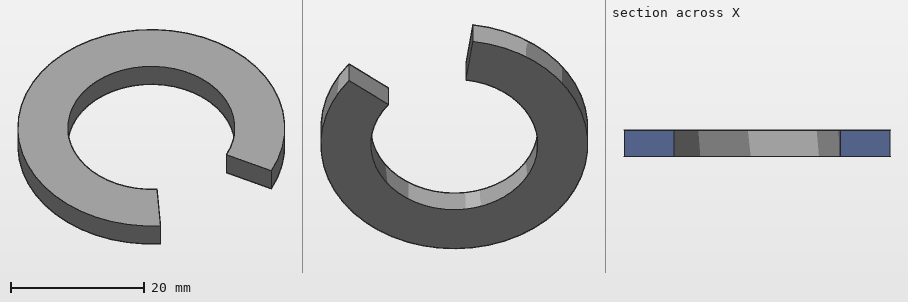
import cadquery as cq
import math

outer_diameter = 40.0
inner_diameter = 25.0
thickness = 4.0
gap_angle = 60.0

outer_radius = outer_diameter / 2
inner_radius = inner_diameter / 2
half_gap = math.radians(gap_angle / 2)


def point_on_circle(radius, angle):
    return (radius * math.cos(angle), radius * math.sin(angle))


result = (
    cq.Workplane("XY")
    .moveTo(*point_on_circle(inner_radius, half_gap))
    .lineTo(*point_on_circle(outer_radius, half_gap))
    .threePointArc((-outer_radius, 0), point_on_circle(outer_radius, -half_gap))
    .lineTo(*point_on_circle(inner_radius, -half_gap))
    .threePointArc((-inner_radius, 0), point_on_circle(inner_radius, half_gap))
    .close()
    .extrude(thickness)
)